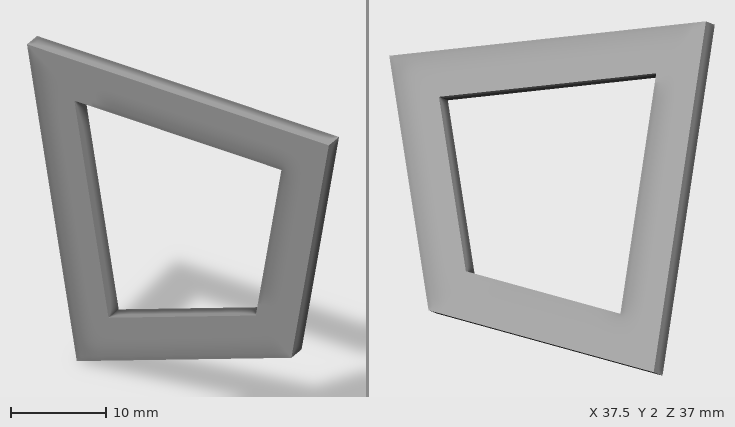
import cadquery as cq

width = 37.5
height = 37.0
thickness = 2.0
border = 5.0

low_left_inset = 6.2
low_right_inset = 4.65
right_side_drop = 27.72

corners = [
    (-width / 2, height / 2),
    (width / 2, height / 2),
    (width / 2 - low_right_inset, height / 2 - right_side_drop),
    (-width / 2 + low_left_inset, -height / 2),
]


def plate(inset):
    """Four-sided plate centred on Y, with its outline moved inward by inset."""
    outline = cq.Workplane("XZ").polyline(corners).close()
    if inset > 0:
        outline = outline.offset2D(-inset, "intersection")
    return outline.extrude(thickness / 2, both=True)


result = plate(0).cut(plate(border))